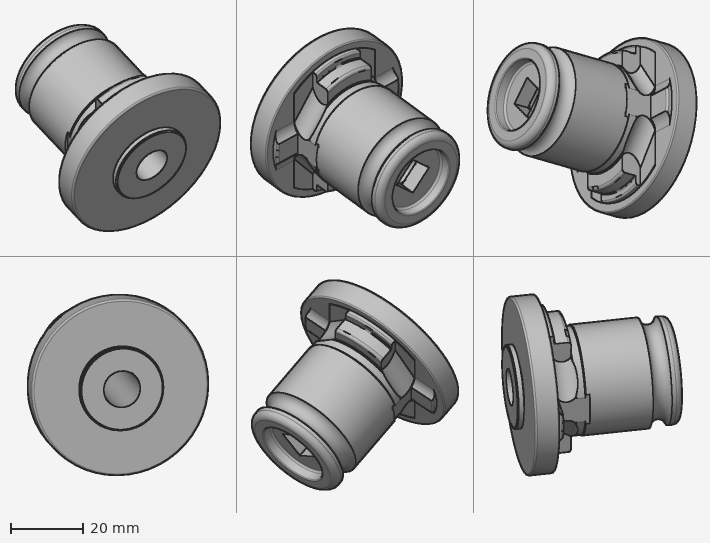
import cadquery as cq
import math


BEAD_RADIUS = 15.2
BEAD_ROUND = 2.0
BEAD_END = 3.2
GRIP_GROOVE_RADIUS = 13.25
GRIP_GROOVE_MIDDLE = 5.8
BARREL_START = 8.6
BARREL_RADIUS = 15.55
BARREL_END = 27.4

NECK_RADIUS = 15.3
NECK_CHAMFER = BARREL_RADIUS - NECK_RADIUS
NECK_FLATS_START = 26.35
NECK_FLATS_WIDTH = 29.55

LUG_WIDTH = 16.0
LUG_START = 30.35
LUG_RADIUS = 20.0
LUG_ROUND = 0.9
LUG_INNER_FILLET = 0.3
STEP_START = 35.1
STEP_RADIUS = 22.4
STEP_ROUND = 0.6

SLOT_RADIUS = 4.5
SLOT_STATION = 32.85
SLOT_FLOOR_DISTANCE = 13.65
SLOT_ANGLE = 37.0
PAD_THICKNESS = 0.15

KEY_TOP_WIDTH = 6.85
KEY_FLARE_RADIUS = 4.5

FLANGE_START = 36.8
FLANGE_END = 43.7
FLANGE_RADIUS = 25.0
FLANGE_FRONT_ROUND = 0.4
FLANGE_BACK_ROUND = 0.55
SPIGOT_RADIUS = 8.7
DISC_START = 44.35
DISC_RADIUS = 11.8
DISC_CHAMFER = 0.35
LENGTH = 46.15

RECESS_RADIUS = 10.25
RECESS_DEPTH = 3.4
RECESS_FLOOR_FILLET = 0.6
RECESS_RIM_ROUND = 0.3
SOCKET_SIDE = 8.35
SOCKET_DEPTH = 4.7
BORE_RADIUS = 5.15

ROUND_MIDPOINT = 1 - math.sqrt(0.5)


def revolve_about_x(profile):
    return profile.close().revolve(360, (0, 0, 0), (1, 0, 0))


def cylinder(start, end, radius):
    return cq.Workplane("YZ", origin=(start, 0, 0)).circle(radius).extrude(end - start)


def box_between(start, end, width, height):
    return cq.Workplane("YZ", origin=(start, 0, 0)).rect(width, height).extrude(end - start)


def knob():
    """Bead, concave grip groove, barrel and the plain neck up to the flange."""
    inset = BEAD_ROUND * ROUND_MIDPOINT
    return revolve_about_x(
        cq.Workplane("XY")
        .lineTo(0, BEAD_RADIUS - BEAD_ROUND)
        .threePointArc((inset, BEAD_RADIUS - inset), (BEAD_ROUND, BEAD_RADIUS))
        .lineTo(BEAD_END, BEAD_RADIUS)
        .threePointArc((GRIP_GROOVE_MIDDLE, GRIP_GROOVE_RADIUS), (BARREL_START, BARREL_RADIUS))
        .lineTo(BARREL_END, BARREL_RADIUS)
        .lineTo(BARREL_END + NECK_CHAMFER, NECK_RADIUS)
        .lineTo(FLANGE_START, NECK_RADIUS)
        .lineTo(FLANGE_START, 0)
    )


def lug_ring():
    """Stepped ring from which the lugs above and below the neck remain."""
    fillet = LUG_INNER_FILLET
    corner = fillet * ROUND_MIDPOINT
    lug_inset = LUG_ROUND * ROUND_MIDPOINT
    step_inset = STEP_ROUND * ROUND_MIDPOINT
    return revolve_about_x(
        cq.Workplane("XY")
        .moveTo(LUG_START - fillet, 0)
        .lineTo(LUG_START - fillet, NECK_RADIUS)
        .threePointArc((LUG_START - corner, NECK_RADIUS + corner), (LUG_START, NECK_RADIUS + fillet))
        .lineTo(LUG_START, LUG_RADIUS - LUG_ROUND)
        .threePointArc(
            (LUG_START + lug_inset, LUG_RADIUS - lug_inset),
            (LUG_START + LUG_ROUND, LUG_RADIUS),
        )
        .lineTo(STEP_START - fillet, LUG_RADIUS)
        .threePointArc((STEP_START - corner, LUG_RADIUS + corner), (STEP_START, LUG_RADIUS + fillet))
        .lineTo(STEP_START, STEP_RADIUS - STEP_ROUND)
        .threePointArc(
            (STEP_START + step_inset, STEP_RADIUS - step_inset),
            (STEP_START + STEP_ROUND, STEP_RADIUS),
        )
        .lineTo(FLANGE_START, STEP_RADIUS)
        .lineTo(FLANGE_START, 0)
    )


def flats_cutter():
    """Everything outside the two side flats, from the barrel end to the flange."""
    reach = 2 * FLANGE_RADIUS
    around = box_between(NECK_FLATS_START, FLANGE_START, reach, reach)
    return around.cut(box_between(NECK_FLATS_START, FLANGE_START, NECK_FLATS_WIDTH, reach))


def undercut_slots():
    """Four straight slots, one per corner, stopped at the lug sides."""
    slot_axis_distance = SLOT_FLOOR_DISTANCE + SLOT_RADIUS
    pad_face = FLANGE_START - PAD_THICKNESS
    pad_arc_distance = slot_axis_distance - math.sqrt(SLOT_RADIUS**2 - (pad_face - SLOT_STATION) ** 2)
    slot = (
        cq.Workplane("XY")
        .moveTo(SLOT_STATION - SLOT_RADIUS, FLANGE_RADIUS)
        .lineTo(SLOT_STATION - SLOT_RADIUS, slot_axis_distance)
        .threePointArc(
            (SLOT_STATION, SLOT_FLOOR_DISTANCE),
            (pad_face, pad_arc_distance),
        )
        .lineTo(pad_face, FLANGE_RADIUS)
        .close()
        .extrude(FLANGE_RADIUS, both=True)
    )
    between_lugs = box_between(0, FLANGE_START, LUG_WIDTH, 2 * FLANGE_RADIUS)
    slots = cq.Workplane("XY")
    for angle in (SLOT_ANGLE, 180 - SLOT_ANGLE, 180 + SLOT_ANGLE, -SLOT_ANGLE):
        slots = slots.add(slot.rotate((0, 0, 0), (1, 0, 0), angle).cut(between_lugs))
    return slots.combine()


def side_keys():
    """Two low keys on the flange face with flared flanks and rounded outer edges."""
    height = FLANGE_START - STEP_START
    half_top = KEY_TOP_WIDTH / 2
    flare_angle = math.acos(1 - height / KEY_FLARE_RADIUS)
    half_base = half_top + KEY_FLARE_RADIUS * math.sin(flare_angle)
    flare_mid_x = FLANGE_START - KEY_FLARE_RADIUS * (1 - math.cos(flare_angle / 2))
    flare_mid_z = half_base - KEY_FLARE_RADIUS * math.sin(flare_angle / 2)
    bar = (
        cq.Workplane("XZ")
        .moveTo(FLANGE_START, half_base)
        .threePointArc((flare_mid_x, flare_mid_z), (STEP_START, half_top))
        .lineTo(STEP_START, -half_top)
        .threePointArc((flare_mid_x, -flare_mid_z), (FLANGE_START, -half_base))
        .close()
        .extrude(FLANGE_RADIUS, both=True)
    )
    middle = box_between(STEP_START, FLANGE_START, NECK_FLATS_WIDTH, 2 * FLANGE_RADIUS)
    outline = cylinder(STEP_START, FLANGE_START, STEP_RADIUS).faces("<X").edges().fillet(STEP_ROUND)
    return bar.intersect(outline).cut(middle)


def flange():
    plate = cylinder(FLANGE_START, FLANGE_END, FLANGE_RADIUS)
    plate = plate.faces("<X").edges().fillet(FLANGE_FRONT_ROUND)
    plate = plate.faces(">X").edges().fillet(FLANGE_BACK_ROUND)
    spigot = cylinder(FLANGE_END, DISC_START, SPIGOT_RADIUS)
    disc = cylinder(DISC_START, LENGTH, DISC_RADIUS).faces(">X").edges().chamfer(DISC_CHAMFER)
    return plate.union(spigot).union(disc)


def recess():
    """Round recess in the knob end with a filleted floor and a rounded rim."""
    rim_inset = RECESS_RIM_ROUND * ROUND_MIDPOINT
    floor_inset = RECESS_FLOOR_FILLET * ROUND_MIDPOINT
    return revolve_about_x(
        cq.Workplane("XY")
        .lineTo(0, RECESS_RADIUS + RECESS_RIM_ROUND)
        .threePointArc((rim_inset, RECESS_RADIUS + rim_inset), (RECESS_RIM_ROUND, RECESS_RADIUS))
        .lineTo(RECESS_DEPTH - RECESS_FLOOR_FILLET, RECESS_RADIUS)
        .threePointArc(
            (RECESS_DEPTH - floor_inset, RECESS_RADIUS - floor_inset),
            (RECESS_DEPTH, RECESS_RADIUS - RECESS_FLOOR_FILLET),
        )
        .lineTo(RECESS_DEPTH, 0)
    )


def socket_and_bore():
    """Square socket standing on its corner, opening into a bore through the far end."""
    socket_end = RECESS_DEPTH + SOCKET_DEPTH
    socket = box_between(RECESS_DEPTH, socket_end, SOCKET_SIDE, SOCKET_SIDE)
    socket = socket.rotate((0, 0, 0), (1, 0, 0), 45)
    return socket.union(cylinder(socket_end, LENGTH, BORE_RADIUS))


body = knob().union(lug_ring()).cut(flats_cutter()).cut(undercut_slots())
body = body.union(flange()).union(side_keys())
result = body.cut(recess()).cut(socket_and_bore())